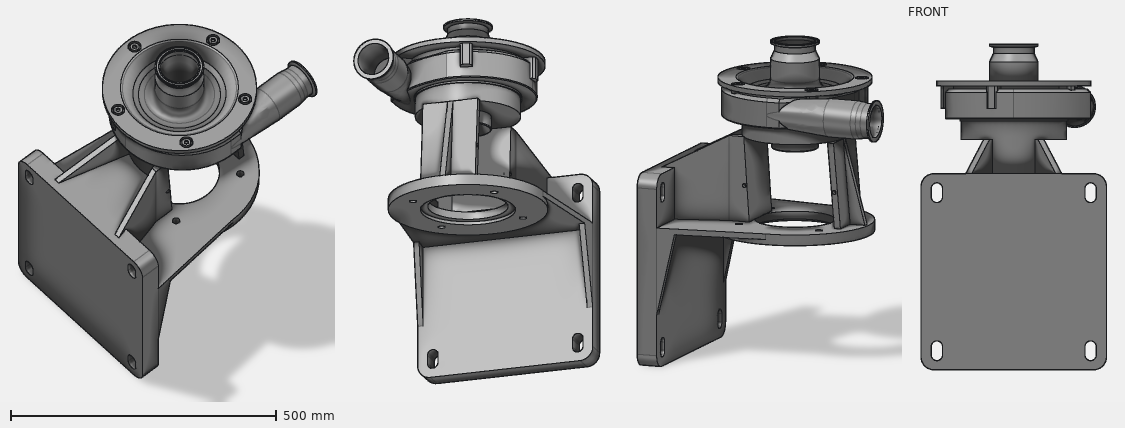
import cadquery as cq
import math


plate_width = 350.0
plate_height = 370.5
plate_thickness = 40.0
plate_front = -251.0
plate_back = plate_front + plate_thickness
plate_corner = 25.0
slot_width = 21.0
slot_length = 37.0
slot_x = 145.0
slot_edge_distance = 36.0

flange_radius = 150.5
flange_top = 271.0
flange_thickness = 21.0
shelf_thickness = 11.0
motor_bore_radius = 75.5
motor_spigot_radius = 90.0
motor_spigot_depth = 6.0
motor_bolt_radius = 115.0
motor_bolt_hole_radius = 7.0
sheet = 11.0
under_rib_y = -176.5
under_rib_bottom = 104.0

lantern_top = 434.5
lantern_radius = 99.5
lantern_half_width = 57.0
front_wall_inner_bottom = -70.0
front_wall_inner_top = -81.0
rear_wall_inner_bottom = 102.0
rear_wall_inner_top = 88.0
rear_wall_thickness = 12.0
rear_wall_half_width = 54.5
rear_rib_reach = 144.5
gusset_angle = 15.0
gusset_x = 58.0
gusset_y = -134.0
gusset_top_y = -110.5
gusset_end_y = -235.0
guard_hole_radius = 3.5
guard_hole_depth = 12.0
guard_hole_z = 340.5
guard_hole_inset = 5.5

hub_lip_radius = 102.0
hub_lip_bottom = 469.5
seal_radius = 44.0
seal_bottom = 408.5
seal_chamfer = 2.0

casing_bottom = 473.0
casing_top = 530.5
casing_edge_bevel = 2.0
casing_top_chamfer = 7.0
spiral_start_radius = 121.0
spiral_growth = 8.0
casing_widest_radius = spiral_start_radius + 3 * spiral_growth

cover_radius = 145.5
cover_bottom = 536.0
cover_top = 545.0
cover_seat_radius = 114.0
bowl_edge_radius = 111.0
bowl_edge_drop = 2.0
bowl_rim_radius = 107.5
bowl_cone_radius = 88.0
bowl_cone_depth = 19.5
bowl_floor_outer = 77.5
bowl_floor_inner = 66.5
bowl_depth = 23.5
neck_flare_depth = 3.0

inlet_top = 614.5
inlet_clamp_radius = 46.0
inlet_clamp_thickness = 3.5
inlet_clamp_taper = 2.5
gasket_groove_inner = 39.5
gasket_groove_outer = 43.5
gasket_groove_depth = 1.0
inlet_neck_radius = 39.0
inlet_neck_bottom = 596.5
inlet_shoulder = 581.0
inlet_bore_radius = 37.0
inlet_bore_bottom = 491.5

outlet_x = 115.0
outlet_z = 496.5
outlet_radius = 36.0
outlet_end = 210.0
outlet_pipe_start = 118.0
outlet_pipe_end = 172.5
outlet_step_end = 182.5
outlet_neck_start = 192.0
outlet_step_radius = 35.0
outlet_neck_radius = 33.0
outlet_clamp_radius = 39.5
outlet_clamp_thickness = 3.0
outlet_clamp_taper = 2.5
outlet_bore_radius = 31.0
outlet_throat_radius = 25.0

bolt_count = 5
bolt_circle_radius = 126.5
lug_width = 23.0
lug_outer_radius = 137.5
lug_inner_radius = 110.5
lug_bottom = 493.5
lug_chamfer = 5.0
counterbore_radius = 12.0
counterbore_depth = 6.0
bolt_head_radius = 8.5
bolt_socket_size = 8.5
bolt_socket_depth = 3.5


def box(x0, x1, y0, y1, z0, z1):
    return cq.Workplane("XY").box(x1 - x0, y1 - y0, z1 - z0, centered=False).translate((x0, y0, z0))


def cylinder(radius, z0, z1):
    return cq.Workplane("XY").workplane(offset=z0).circle(radius).extrude(z1 - z0)


def side_profile(points, half_width):
    """Prism of a Y-Z outline, centred on X = 0."""
    return cq.Workplane("YZ").polyline(points).close().extrude(half_width, both=True)


def mounting_plate():
    plate = box(-plate_width / 2, plate_width / 2, plate_front, plate_back, 0, plate_height)
    plate = plate.edges("|Y").fillet(plate_corner)
    slot_places = [
        (x, z)
        for x in (-slot_x, slot_x)
        for z in (slot_edge_distance, plate_height - slot_edge_distance)
    ]
    slots = (
        cq.Workplane("XZ", origin=(0, plate_back, 0))
        .pushPoints(slot_places)
        .slot2D(slot_length, slot_width, 90)
        .extrude(plate_thickness)
    )
    return plate.cut(slots)


def shelf_prism(half_width, z0, z1):
    """Prism widening evenly from the flange axis to the mounting plate."""
    inset = plate_width / 2 - half_width
    narrow = flange_radius - inset
    plan = [(-narrow, 0), (narrow, 0), (half_width, plate_back), (-half_width, plate_back)]
    return cq.Workplane("XY").workplane(offset=z0).polyline(plan).close().extrude(z1 - z0)


def motor_flange():
    bottom = flange_top - flange_thickness
    disc = cylinder(flange_radius, bottom, flange_top)
    shelf = shelf_prism(plate_width / 2, flange_top - shelf_thickness, flange_top)
    bore = cylinder(motor_bore_radius, bottom, flange_top)
    spigot_recess = cylinder(motor_spigot_radius, bottom, bottom + motor_spigot_depth)
    bolt_holes = (
        cq.Workplane("XY")
        .workplane(offset=bottom)
        .polarArray(motor_bolt_radius, 45, 360, 4)
        .circle(motor_bolt_hole_radius)
        .extrude(flange_thickness)
    )
    return disc.union(shelf).cut(bore).cut(spigot_recess).cut(bolt_holes)


def under_ribs():
    """Triangular ribs below the shelf, flush with its two slanting sides."""
    half = plate_width / 2
    rib_top = flange_top - shelf_thickness
    wedge = side_profile([(under_rib_y, rib_top), (plate_back, rib_top), (plate_back, under_rib_bottom)], half)
    outer = shelf_prism(half, under_rib_bottom, rib_top)
    inner = shelf_prism(half - sheet, under_rib_bottom, rib_top)
    return wedge.intersect(outer.cut(inner))


def gusset(side):
    """Sloped web leaning outwards from the lantern towards the mounting plate."""
    lean = math.tan(math.radians(gusset_angle))
    half = sheet / math.cos(math.radians(gusset_angle)) / 2

    def centre_x(y):
        return gusset_x + (gusset_y - y) * lean

    inner_y = front_wall_inner_bottom
    end_y = gusset_end_y
    plan = [
        (side * (centre_x(inner_y) - half), inner_y),
        (side * lantern_half_width, inner_y),
        (side * lantern_half_width, gusset_top_y),
        (side * (centre_x(end_y) + half), end_y),
        (side * (centre_x(end_y) - half), end_y),
    ]
    web = cq.Workplane("XY").workplane(offset=flange_top).polyline(plan).close()
    web = web.extrude(lantern_top - flange_top)
    slope = side_profile(
        [
            (front_wall_inner_bottom, flange_top),
            (front_wall_inner_top, lantern_top),
            (gusset_top_y, lantern_top),
            (gusset_end_y, plate_height),
            (gusset_end_y, flange_top),
        ],
        plate_width / 2,
    )
    return web.intersect(slope)


def front_wall():
    """Flat-backed part of the lantern cylinder on the mounting plate side, with its gussets."""
    slab = side_profile(
        [
            (front_wall_inner_bottom, flange_top),
            (front_wall_inner_top, lantern_top),
            (-lantern_radius, lantern_top),
            (-lantern_radius, flange_top),
        ],
        lantern_half_width,
    )
    wall = cylinder(lantern_radius, flange_top, lantern_top).intersect(slab)
    lean = math.tan(math.radians(gusset_angle))
    front_half = gusset_x + (gusset_y - plate_back) * lean
    rear_half = gusset_x + (gusset_y - front_wall_inner_top) * lean
    filler = (
        cq.Workplane("XY")
        .workplane(offset=flange_top)
        .polyline(
            [
                (-rear_half, front_wall_inner_top),
                (rear_half, front_wall_inner_top),
                (front_half, plate_back),
                (-front_half, plate_back),
            ]
        )
        .close()
        .extrude(plate_height - flange_top)
    )
    return wall.union(filler).union(gusset(1)).union(gusset(-1))


def rear_wall():
    """Leaning wall on the far side of the lantern with one triangular rib behind it."""
    outer_bottom = rear_wall_inner_bottom + rear_wall_thickness
    outer_top = rear_wall_inner_top + rear_wall_thickness
    wall = side_profile(
        [
            (rear_wall_inner_bottom, flange_top),
            (outer_bottom, flange_top),
            (outer_top, lantern_top),
            (rear_wall_inner_top, lantern_top),
        ],
        rear_wall_half_width,
    )
    rib = side_profile(
        [
            (rear_wall_inner_bottom, flange_top),
            (rear_rib_reach, flange_top),
            (outer_top, lantern_top),
            (rear_wall_inner_top, lantern_top),
        ],
        sheet / 2,
    )
    return wall.union(rib)


def guard_holes():
    """Small blind holes in both ends of the two lantern walls."""
    rise = (guard_hole_z - flange_top) / (lantern_top - flange_top)
    front_face = front_wall_inner_bottom + rise * (front_wall_inner_top - front_wall_inner_bottom)
    rear_face = rear_wall_inner_bottom + rise * (rear_wall_inner_top - rear_wall_inner_bottom)
    ends = [
        (lantern_half_width, front_face - guard_hole_inset),
        (rear_wall_half_width, rear_face + guard_hole_inset),
    ]
    holes = cq.Workplane("XY")
    for end_x, y in ends:
        start = cq.Workplane("YZ", origin=(end_x - guard_hole_depth, y, guard_hole_z))
        holes = holes.union(start.circle(guard_hole_radius).extrude(guard_hole_depth))
    return holes.union(holes.mirror("YZ"))


def hub():
    barrel = cylinder(lantern_radius, lantern_top, hub_lip_bottom)
    lip = cylinder(hub_lip_radius, hub_lip_bottom, casing_bottom)
    seal = cylinder(seal_radius, seal_bottom, lantern_top).faces("<Z").chamfer(seal_chamfer)
    return barrel.union(lip).union(seal)


def spiral_point(quarters, inset):
    """Point on the casing wall, counted in quarter turns from +Y towards -X."""
    radius = spiral_start_radius + spiral_growth * quarters - inset
    angle = math.radians(90 * (1 + quarters))
    return (radius * math.cos(angle), radius * math.sin(angle))


def spiral_outline(plane, inset):
    """Closed casing outline: three growing arcs, the throat side and the cutwater arc."""
    start = spiral_point(0, inset)
    outline = plane.moveTo(*start)
    for quarter in range(3):
        outline = outline.threePointArc(spiral_point(quarter + 0.5, inset), spiral_point(quarter + 1, inset))
    cutwater = (spiral_start_radius - inset) * math.sqrt(0.5)
    outline = outline.lineTo(casing_widest_radius - inset, outlet_throat_radius)
    return outline.threePointArc((cutwater, cutwater), start).close()


def spiral_layer(lower_z, upper_z, lower_inset, upper_inset):
    lower = spiral_outline(cq.Workplane("XY").workplane(offset=lower_z), lower_inset)
    return spiral_outline(lower.workplane(offset=upper_z - lower_z), upper_inset).loft(ruled=True)


def casing():
    bevel_end = casing_bottom + casing_edge_bevel
    shoulder = casing_top - casing_top_chamfer
    body = spiral_layer(casing_bottom, bevel_end, casing_edge_bevel, 0)
    body = body.union(spiral_layer(bevel_end, shoulder, 0, 0))
    body = body.union(spiral_layer(shoulder, casing_top, 0, casing_top_chamfer))
    return body.cut(cylinder(cover_seat_radius, casing_bottom, casing_top))


def outlet_pipe():
    throat_x = casing_widest_radius - outlet_throat_radius
    throat_z = casing_bottom + outlet_throat_radius
    throat = cq.Workplane("XZ", origin=(throat_x, 0, throat_z)).circle(outlet_throat_radius)
    diffuser = (
        throat.workplane(offset=-outlet_pipe_start)
        .center(outlet_x - throat_x, outlet_z - throat_z)
        .circle(outlet_radius)
        .loft()
    )
    clamp_start = outlet_end - outlet_clamp_thickness
    profile = [
        (0, outlet_pipe_start),
        (outlet_radius, outlet_pipe_start),
        (outlet_radius, outlet_pipe_end),
        (outlet_step_radius, outlet_step_end),
        (outlet_neck_radius, outlet_neck_start),
        (outlet_neck_radius, clamp_start - outlet_clamp_taper),
        (outlet_clamp_radius, clamp_start),
        (outlet_clamp_radius, outlet_end),
        (0, outlet_end),
    ]
    pipe = cq.Workplane("XY").polyline(profile).close().revolve(360, (0, 0, 0), (0, 1, 0))
    return diffuser.union(pipe.translate((outlet_x, 0, outlet_z)))


def outlet_bore():
    return (
        cq.Workplane("XZ", origin=(outlet_x, outlet_end, outlet_z))
        .circle(outlet_bore_radius)
        .extrude(outlet_end - outlet_pipe_start)
    )


def cover_and_inlet():
    """Dished cover and inlet nozzle as one turned body."""
    floor = cover_top - bowl_depth
    flare_radius = inlet_clamp_radius
    flare_top = cover_top - neck_flare_depth
    flare_width = bowl_floor_inner - flare_radius
    flare_height = flare_top - floor
    bulge = 1 - math.sqrt(0.5)
    clamp_bottom = inlet_top - inlet_clamp_thickness
    profile = (
        cq.Workplane("XZ")
        .moveTo(0, casing_bottom)
        .lineTo(cover_seat_radius, casing_bottom)
        .lineTo(cover_seat_radius, cover_bottom)
        .lineTo(cover_radius, cover_bottom)
        .lineTo(cover_radius, cover_top)
        .lineTo(bowl_edge_radius, cover_top)
        .lineTo(bowl_rim_radius, cover_top - bowl_edge_drop)
        .lineTo(bowl_cone_radius, cover_top - bowl_cone_depth)
        .lineTo(bowl_floor_outer, floor)
        .lineTo(bowl_floor_inner, floor)
        .threePointArc(
            (flare_radius + bulge * flare_width, floor + bulge * flare_height),
            (flare_radius, flare_top),
        )
        .lineTo(inlet_clamp_radius, inlet_shoulder)
        .lineTo(inlet_neck_radius, inlet_neck_bottom)
        .lineTo(inlet_neck_radius, clamp_bottom - inlet_clamp_taper)
        .lineTo(inlet_clamp_radius, clamp_bottom)
        .lineTo(inlet_clamp_radius, inlet_top)
        .lineTo(0, inlet_top)
        .close()
    )
    return profile.revolve(360, (0, 0, 0), (0, 1, 0))


def inlet_cavities():
    """Blind inlet bore and the gasket groove in the inlet clamp face."""
    groove = (
        cq.Workplane("XY", origin=(0, 0, inlet_top))
        .circle(gasket_groove_outer)
        .circle(gasket_groove_inner)
        .extrude(-gasket_groove_depth)
    )
    return cylinder(inlet_bore_radius, inlet_bore_bottom, inlet_top).union(groove)


def around_bolt_circle(feature):
    """Copies of a feature that is modelled on the +X axis, one per cover bolt."""
    copies = cq.Workplane("XY")
    for index in range(bolt_count):
        copies = copies.union(feature.rotate((0, 0, 0), (0, 0, 1), 180 + index * 360 / bolt_count))
    return copies


def lug():
    block = box(lug_inner_radius, lug_outer_radius, -lug_width / 2, lug_width / 2, lug_bottom, cover_bottom)
    return block.edges("|Z and >X").chamfer(lug_chamfer)


def bolt_recess():
    """Annular gap around a sunk bolt head, together with its hexagon socket."""
    ring = (
        cq.Workplane("XY", origin=(bolt_circle_radius, 0, cover_top))
        .circle(counterbore_radius)
        .circle(bolt_head_radius)
        .extrude(-counterbore_depth)
    )
    socket = (
        cq.Workplane("XY", origin=(bolt_circle_radius, 0, cover_top))
        .polygon(6, bolt_socket_size)
        .extrude(-bolt_socket_depth)
    )
    return ring.union(socket)


stand = mounting_plate().union(motor_flange()).union(under_ribs())
stand = stand.union(front_wall()).union(rear_wall()).cut(guard_holes())

pump = hub().union(casing()).union(cover_and_inlet()).union(outlet_pipe())
pump = pump.union(around_bolt_circle(lug())).cut(around_bolt_circle(bolt_recess()))
pump = pump.cut(inlet_cavities()).cut(outlet_bore())

result = stand.union(pump)